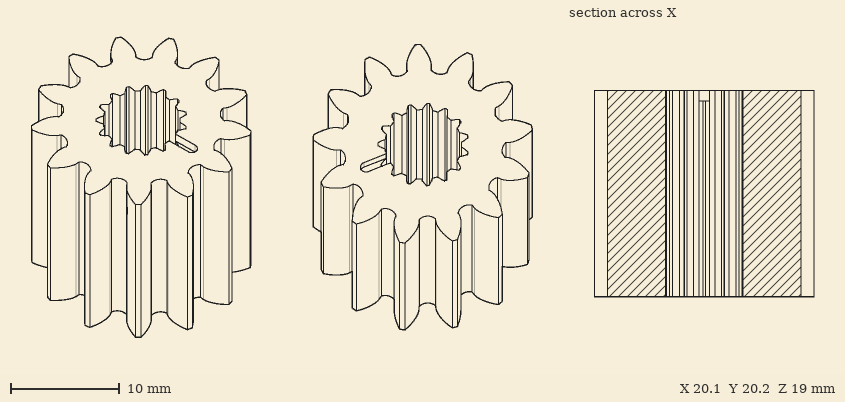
import cadquery as cq
import math

GEAR_TEETH = 13
GEAR_MODULE = 25.4 / 20
GEAR_PRESSURE_ANGLE = math.radians(14.5)
PROFILE_SHIFT = 0.5
BACKLASH = 0.02
TIP_RADIUS = 10.155
ROOT_RADIUS = 7.28
ROOT_WALL_RADIUS = 7.62

SPLINE_TEETH = 15
SPLINE_MODULE = 0.5
SPLINE_PRESSURE_ANGLE = math.radians(30)
BORE_RADIUS = 3.535
GROOVE_TIP_RADIUS = 4.18

FACE_WIDTH = 19.0
SLOT_WIDTH = 1.0
SLOT_END = 6.25
SLOT_DEPTH = 1.0

FLANK_POINTS = 7


def polar(radius, angle):
    return (radius * math.cos(angle), radius * math.sin(angle))


def involute(angle):
    return math.tan(angle) - angle


def flank(pitch_radius, pressure_angle, half_thickness, start_radius, end_radius):
    """Radius and half angle of an involute tooth, from start_radius out to end_radius."""
    base_radius = pitch_radius * math.cos(pressure_angle)
    base_half_angle = half_thickness / pitch_radius + involute(pressure_angle)
    points = []
    for i in range(FLANK_POINTS):
        radius = start_radius + (end_radius - start_radius) * i / (FLANK_POINTS - 1)
        local_angle = math.acos(min(1.0, base_radius / radius))
        points.append((radius, base_half_angle - involute(local_angle)))
    return points


def toothed_prism(teeth, tooth_edge, flank_start, root_radius, height):
    """Prism with one tooth centred on +X.

    tooth_edge lists (radius, half angle) from the root outwards. Points before index
    flank_start are joined by straight walls and the rest by a smooth curve. An arc caps
    each tooth, and an arc reaching root_radius at its middle joins it to the next one.
    """
    pitch_angle = 2 * math.pi / teeth
    foot_radius, foot_half_angle = tooth_edge[0]
    tip_radius = tooth_edge[-1][0]
    last = len(tooth_edge) - 1

    outline = cq.Workplane("XY").moveTo(*polar(foot_radius, -foot_half_angle))
    for tooth in range(teeth):
        centre = tooth * pitch_angle
        rising = [polar(radius, centre - half) for radius, half in tooth_edge]
        falling = [polar(radius, centre + half) for radius, half in reversed(tooth_edge)]
        for point in rising[1:flank_start + 1]:
            outline = outline.lineTo(*point)
        outline = outline.spline(rising[flank_start + 1:], includeCurrent=True)
        outline = outline.threePointArc(polar(tip_radius, centre), falling[0])
        outline = outline.spline(falling[1:last - flank_start + 1], includeCurrent=True)
        for point in falling[last - flank_start + 1:]:
            outline = outline.lineTo(*point)
        root_middle = polar(root_radius, centre + pitch_angle / 2)
        next_foot = polar(foot_radius, centre + pitch_angle - foot_half_angle)
        outline = outline.threePointArc(root_middle, next_foot)
    return outline.close().extrude(height)


def gear_body():
    pitch_radius = GEAR_TEETH * GEAR_MODULE / 2
    base_radius = pitch_radius * math.cos(GEAR_PRESSURE_ANGLE)
    shifted_half_thickness = GEAR_MODULE * (math.pi / 4 + PROFILE_SHIFT * math.tan(GEAR_PRESSURE_ANGLE))
    half_thickness = shifted_half_thickness - BACKLASH
    tooth_flank = flank(pitch_radius, GEAR_PRESSURE_ANGLE, half_thickness, base_radius, TIP_RADIUS)
    wall_foot = (ROOT_WALL_RADIUS, tooth_flank[0][1])
    return toothed_prism(GEAR_TEETH, [wall_foot] + tooth_flank, 1, ROOT_RADIUS, FACE_WIDTH)


def splined_bore():
    pitch_radius = SPLINE_TEETH * SPLINE_MODULE / 2
    half_thickness = SPLINE_MODULE * math.pi / 4
    groove_flank = flank(
        pitch_radius, SPLINE_PRESSURE_ANGLE, half_thickness, BORE_RADIUS, GROOVE_TIP_RADIUS
    )
    return toothed_prism(SPLINE_TEETH, groove_flank, 0, BORE_RADIUS, FACE_WIDTH)


def top_slot():
    """Slot running out along +X from the gear axis, open to the bore."""
    half_width = SLOT_WIDTH / 2
    straight_end = SLOT_END - half_width
    return (
        cq.Workplane("XY", origin=(0, 0, FACE_WIDTH - SLOT_DEPTH))
        .moveTo(0, -half_width)
        .lineTo(straight_end, -half_width)
        .threePointArc((SLOT_END, 0), (straight_end, half_width))
        .lineTo(0, half_width)
        .close()
        .extrude(SLOT_DEPTH)
    )


result = gear_body().cut(splined_bore()).cut(top_slot())